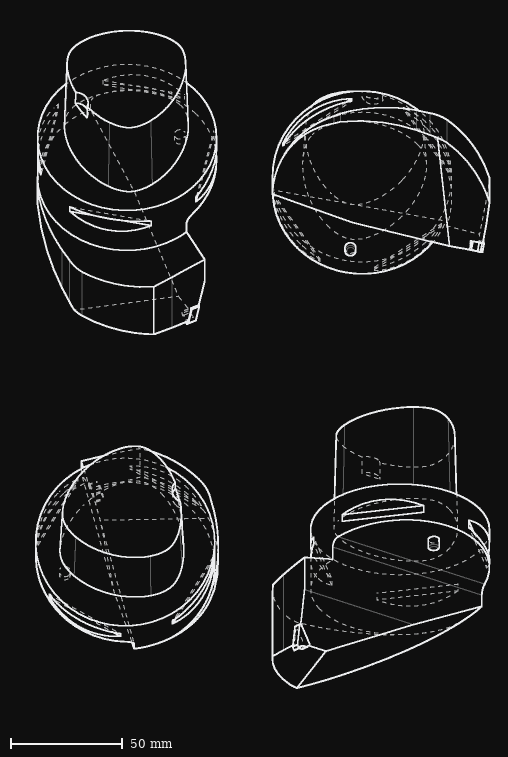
import cadquery as cq
import math


FLANGE_RADIUS = 40.0
FLANGE_BOTTOM = -31.0
CLEAR_SIZE = 152.4

SHANK_HEIGHT = 48.0
SHANK_RADIUS = 27.7
SHANK_TAPER = 1.1
LOBE_HEIGHT = 2.0
LOBE_HALF_ANGLE = 33.0
CURVE_STEPS = 6

NOTCH_RADIUS = 5.7
NOTCH_CENTER_Y = -27.5
NOTCH_DEPTH = 8.3

GROOVE_COUNT = 4
GROOVE_FIRST_ANGLE = 45.0
GROOVE_FLOOR_RADIUS = 35.4
GROOVE_MID_Z = -12.0
GROOVE_FLOOR_HALF = 1.71
GROOVE_RIM_HALF = 4.5

ARM_FRONT_X = 54.5
ARM_NOSE_X = 54.1
ARM_NOSE_START_Y = -11.4
ARM_NOSE_END_Y = -20.8
ARM_EDGE_Y = -45.2
ARM_CONE_ANGLE = 14.0
ARM_BLANK_BOTTOM = -88.9

BACK_START_Z = -30.1
BACK_ANGLE = 30.0
NOSE_EDGE_Z = -76.3
NOSE_ANGLE = 10.0

WALL_Y = 6.1
CEILING_RIM_Z = -18.0
CEILING_WALL_Z = -21.1
RELIEF_FILLET = 3.8
RAKE_TOP_Z = -51.3
RAKE_ANGLE = 11.0

NOZZLE_DIAMETER = 5.0
NOZZLE_TIP_DIAMETER = 3.5
NOZZLE_Y = 27.9
NOZZLE_BOTTOM = -23.6

PART_BOTTOM = 127.0 - SHANK_HEIGHT
INSERT_SIDE_X = 55.0
INSERT_BACK_X = 48.6
INSERT_TOOTH_X = 54.0
INSERT_THICKNESS = 4.0


def rake_y(z):
    """Y of the tilted rake face at height z."""
    return WALL_Y - (RAKE_TOP_Z - z) * math.tan(math.radians(RAKE_ANGLE))


def shank_curve(mean_radius, degrees, z):
    """Point and tangent of the three-lobed curve where its normal has this angle."""
    angle = math.radians(degrees)
    lobe_phase = 3 * (angle - math.pi / 2)
    support = mean_radius + LOBE_HEIGHT * math.cos(lobe_phase)
    slope = -3 * LOBE_HEIGHT * math.sin(lobe_phase)
    x = support * math.cos(angle) - slope * math.sin(angle)
    y = support * math.sin(angle) + slope * math.cos(angle)
    return cq.Vector(x, y, z), cq.Vector(-math.sin(angle), math.cos(angle), 0)


def shank_section(mean_radius, z):
    """Closed curve of constant width, one lobe toward +Y, split at each lobe's ends."""
    edges = []
    for lobe in range(3):
        lobe_middle = 90 + 120 * lobe
        lobe_start = lobe_middle - LOBE_HALF_ANGLE
        lobe_end = lobe_middle + LOBE_HALF_ANGLE
        for start, end in ((lobe_start, lobe_end), (lobe_end, lobe_start + 120)):
            step = (end - start) / CURVE_STEPS
            samples = [shank_curve(mean_radius, start + i * step, z) for i in range(CURVE_STEPS + 1)]
            points = [point for point, _ in samples]
            tangents = [samples[0][1], samples[-1][1]]
            edges.append(cq.Edge.makeSpline(points, tangents=tangents))
    return cq.Wire.assembleEdges(edges)


def make_shank():
    base = shank_section(SHANK_RADIUS, 0)
    end = shank_section(SHANK_RADIUS - SHANK_TAPER, SHANK_HEIGHT)
    shank = cq.Workplane(obj=cq.Solid.makeLoft([base, end], True))
    notch = (
        cq.Workplane("XY", origin=(0, NOTCH_CENTER_Y, SHANK_HEIGHT - NOTCH_DEPTH))
        .circle(NOTCH_RADIUS)
        .extrude(NOTCH_DEPTH)
    )
    return shank.cut(notch)


def make_groove(angle):
    """Straight groove with flared flanks, tangential to the flange rim."""
    depth = FLANGE_RADIUS - GROOVE_FLOOR_RADIUS
    return (
        cq.Workplane("XZ")
        .moveTo(GROOVE_FLOOR_RADIUS, GROOVE_MID_Z - GROOVE_FLOOR_HALF)
        .lineTo(GROOVE_FLOOR_RADIUS + depth, GROOVE_MID_Z - GROOVE_RIM_HALF)
        .lineTo(GROOVE_FLOOR_RADIUS + depth, GROOVE_MID_Z + GROOVE_RIM_HALF)
        .lineTo(GROOVE_FLOOR_RADIUS, GROOVE_MID_Z + GROOVE_FLOOR_HALF)
        .close()
        .extrude(FLANGE_RADIUS, both=True)
        .rotate((0, 0, 0), (0, 0, 1), angle)
    )


def make_flange():
    flange = cq.Workplane("XY").circle(FLANGE_RADIUS).extrude(FLANGE_BOTTOM)
    for i in range(GROOVE_COUNT):
        flange = flange.cut(make_groove(GROOVE_FIRST_ANGLE + i * 360 / GROOVE_COUNT))
    return flange


def make_arm():
    """Upright arm with a conical top shoulder, before the undersides are cut."""
    wall_x = -math.sqrt(FLANGE_RADIUS**2 - WALL_Y**2)
    arm = (
        cq.Workplane("XY", origin=(0, 0, FLANGE_BOTTOM))
        .moveTo(wall_x, WALL_Y)
        .lineTo(ARM_FRONT_X, WALL_Y)
        .lineTo(ARM_FRONT_X, ARM_NOSE_START_Y)
        .lineTo(ARM_NOSE_X, ARM_NOSE_END_Y)
        .threePointArc((44.0, -34.3), (30.3, -43.8))
        .threePointArc((26.4, -45.0), (22.2, ARM_EDGE_Y))
        .lineTo(16.1, ARM_EDGE_Y)
        .threePointArc((-0.8, -42.8), (-16.8, -36.8))
        .lineTo(-19.4, -35.0)
        .threePointArc((-33.8, -21.5), (wall_x, WALL_Y))
        .close()
        .extrude(ARM_BLANK_BOTTOM - FLANGE_BOTTOM)
    )
    cone_radius = 2 * FLANGE_RADIUS
    cone_drop = (cone_radius - FLANGE_RADIUS) * math.tan(math.radians(ARM_CONE_ANGLE))
    shoulder = (
        cq.Workplane("XZ")
        .moveTo(0, FLANGE_BOTTOM)
        .lineTo(FLANGE_RADIUS, FLANGE_BOTTOM)
        .lineTo(cone_radius, FLANGE_BOTTOM - cone_drop)
        .lineTo(cone_radius, ARM_BLANK_BOTTOM)
        .lineTo(0, ARM_BLANK_BOTTOM)
        .close()
        .revolve(360, (0, 0, 0), (0, 1, 0))
    )
    return arm.intersect(shoulder)


def make_back_cut():
    """Everything below the long sloping underside."""
    drop = CLEAR_SIZE * math.tan(math.radians(BACK_ANGLE))
    return (
        cq.Workplane("XZ")
        .moveTo(-FLANGE_RADIUS, BACK_START_Z)
        .lineTo(-FLANGE_RADIUS + CLEAR_SIZE, BACK_START_Z - drop)
        .lineTo(-FLANGE_RADIUS, BACK_START_Z - drop)
        .close()
        .extrude(CLEAR_SIZE, both=True)
    )


def make_nose_cut():
    """Everything below the nose face, which rises toward -Y."""
    rise = CLEAR_SIZE * math.tan(math.radians(NOSE_ANGLE))
    edge_y = rake_y(NOSE_EDGE_Z)
    return (
        cq.Workplane("YZ")
        .moveTo(edge_y - CLEAR_SIZE, NOSE_EDGE_Z + rise)
        .lineTo(edge_y + CLEAR_SIZE, NOSE_EDGE_Z - rise)
        .lineTo(edge_y - CLEAR_SIZE, NOSE_EDGE_Z - rise)
        .close()
        .extrude(CLEAR_SIZE, both=True)
    )


def make_relief():
    """Space under the +Y side of the flange, down past the rake face."""
    relief = (
        cq.Workplane("YZ")
        .moveTo(FLANGE_RADIUS, CEILING_RIM_Z)
        .lineTo(WALL_Y, CEILING_WALL_Z)
        .lineTo(WALL_Y, RAKE_TOP_Z)
        .lineTo(rake_y(-CLEAR_SIZE), -CLEAR_SIZE)
        .lineTo(FLANGE_RADIUS, -CLEAR_SIZE)
        .close()
        .extrude(CLEAR_SIZE, both=True)
    )
    corner = cq.selectors.NearestToPointSelector((0, WALL_Y, CEILING_WALL_Z))
    return relief.edges(corner).fillet(RELIEF_FILLET)


def make_nozzle():
    """Round coolant outlet standing below the relief ceiling."""
    return (
        cq.Workplane("XY", origin=(0, NOZZLE_Y, NOZZLE_BOTTOM))
        .circle(NOZZLE_DIAMETER / 2)
        .extrude(CEILING_RIM_Z - NOZZLE_BOTTOM)
        .faces("<Z")
        .edges()
        .fillet((NOZZLE_DIAMETER - NOZZLE_TIP_DIAMETER) / 2)
    )


def make_insert():
    """Plate lying flush in the rake face, with one pointed tooth."""
    tilt = math.radians(RAKE_ANGLE)
    plane = cq.Plane(
        origin=(0, WALL_Y, RAKE_TOP_Z),
        xDir=(1, 0, 0),
        normal=(0, -math.cos(tilt), math.sin(tilt)),
    )
    outline = [
        (INSERT_BACK_X, -75.7),
        (49.9, -77.2),
        (52.7, -77.3),
        (INSERT_TOOTH_X, -PART_BOTTOM),
        (INSERT_SIDE_X, -77.5),
        (INSERT_SIDE_X, -67.9),
        (ARM_FRONT_X, -67.4),
    ]
    tilted = [(x, (z - RAKE_TOP_Z) / math.cos(tilt)) for x, z in outline]
    return cq.Workplane(plane).polyline(tilted).close().extrude(INSERT_THICKNESS)


def make_holder(insert):
    body = make_flange().union(make_arm())
    for removed in (make_back_cut(), make_nose_cut(), make_relief()):
        body = body.cut(removed)
    return body.union(make_shank()).union(make_nozzle()).cut(insert)


insert = make_insert()
holder = make_holder(insert)
result = cq.Compound.makeCompound([holder.solids().val(), insert.val()])